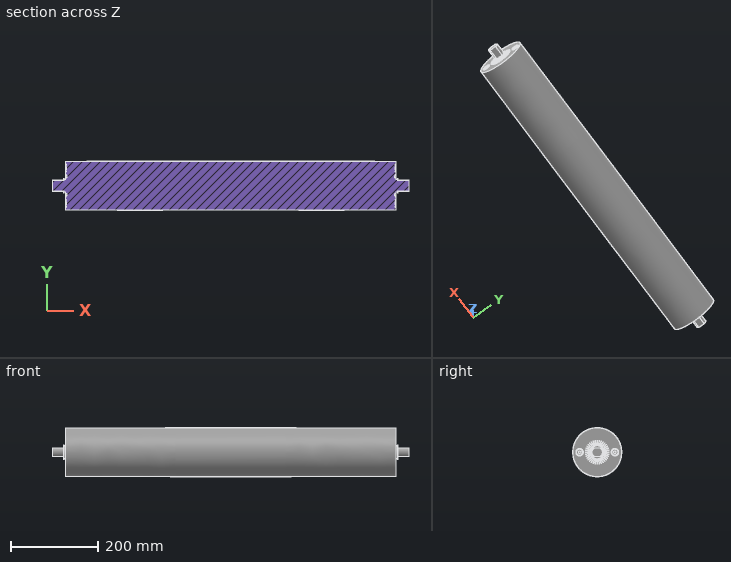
import cadquery as cq

overall_length = 820.0
face_length = 760.0
crown_diameter = 113.0
end_diameter = 112.0
cap_band_length = 6.0

journal_diameter = 30.0
journal_length = 3.0
collar_diameter = 34.0
collar_thickness = 1.0
shaft_diameter = 25.5
shaft_flat_height = 20.5
shaft_chamfer = 1.0

seal_slot_count = 36
seal_slot_angle = 2.0
seal_outer_diameter = 55.0
seal_floor_diameter = 43.0
seal_inner_diameter = 38.0
seal_slot_depth = 3.0

screw_spacing = 81.0
screw_recess_diameter = 17.0
screw_head_diameter = 14.0
screw_recess_depth = 2.0
socket_corner_diameter = 6.5
socket_depth = 2.5

half_length = overall_length / 2
half_face = face_length / 2
crown_half_length = face_length / 6
slot_pitch_angle = 360 / seal_slot_count


def end_plane(x):
    """Sketch plane facing +X at the given position along the axis."""
    return cq.Workplane("YZ").workplane(offset=x)


def crowned_drum():
    """Cylindrical middle third, conical outer thirds and a straight band at each end."""
    band_start = half_face - cap_band_length
    crown_radius = crown_diameter / 2
    end_radius = end_diameter / 2
    profile = [
        (-half_face, 0),
        (-half_face, end_radius),
        (-band_start, end_radius),
        (-crown_half_length, crown_radius),
        (crown_half_length, crown_radius),
        (band_start, end_radius),
        (half_face, end_radius),
        (half_face, 0),
    ]
    return cq.Workplane("XY").polyline(profile).close().revolve(360, (0, 0, 0), (1, 0, 0))


def seal_slots():
    """Ring of narrow radial slots around the shaft, each with a flat floor and a sloped outer end."""
    slot_floor = half_face - seal_slot_depth
    profile = [
        (half_face, seal_inner_diameter / 2),
        (half_face, seal_outer_diameter / 2),
        (slot_floor, seal_floor_diameter / 2),
        (slot_floor, seal_inner_diameter / 2),
    ]
    slot = cq.Workplane("XY").polyline(profile).close().revolve(seal_slot_angle, (0, 0, 0), (1, 0, 0))
    slots = cq.Workplane("XY")
    for i in range(seal_slot_count):
        angle = i * slot_pitch_angle - seal_slot_angle / 2
        slots = slots.add(slot.rotate((0, 0, 0), (1, 0, 0), angle))
    return slots.combine()


def screw_cut(y):
    """Ring-shaped clearance around a flush screw head, plus a hexagon socket with corners up and down."""
    ring = (
        end_plane(half_face - screw_recess_depth)
        .center(y, 0)
        .circle(screw_recess_diameter / 2)
        .circle(screw_head_diameter / 2)
        .extrude(screw_recess_depth)
    )
    socket = (
        end_plane(half_face - socket_depth)
        .transformed(offset=(y, 0, 0), rotate=(0, 0, 30))
        .polygon(6, socket_corner_diameter)
        .extrude(socket_depth)
    )
    return ring.union(socket)


def shaft_end():
    """Journal, thin collar and chamfered shaft with flats on top and bottom, on the +X end."""
    collar_start = half_face + journal_length
    shaft_start = collar_start + collar_thickness
    shaft_length = half_length - shaft_start
    journal = end_plane(half_face).circle(journal_diameter / 2).extrude(journal_length)
    collar = end_plane(collar_start).circle(collar_diameter / 2).extrude(collar_thickness)
    flats = end_plane(shaft_start).rect(shaft_diameter, shaft_flat_height).extrude(shaft_length)
    shaft = (
        end_plane(shaft_start)
        .circle(shaft_diameter / 2)
        .extrude(shaft_length)
        .faces(">X")
        .chamfer(shaft_chamfer)
        .intersect(flats)
    )
    return journal.union(collar).union(shaft)


end_cut = seal_slots()
for screw_y in (-screw_spacing / 2, screw_spacing / 2):
    end_cut = end_cut.union(screw_cut(screw_y))
end_boss = shaft_end()

result = crowned_drum().cut(end_cut).cut(end_cut.mirror("YZ"))
result = result.union(end_boss).union(end_boss.mirror("YZ"))